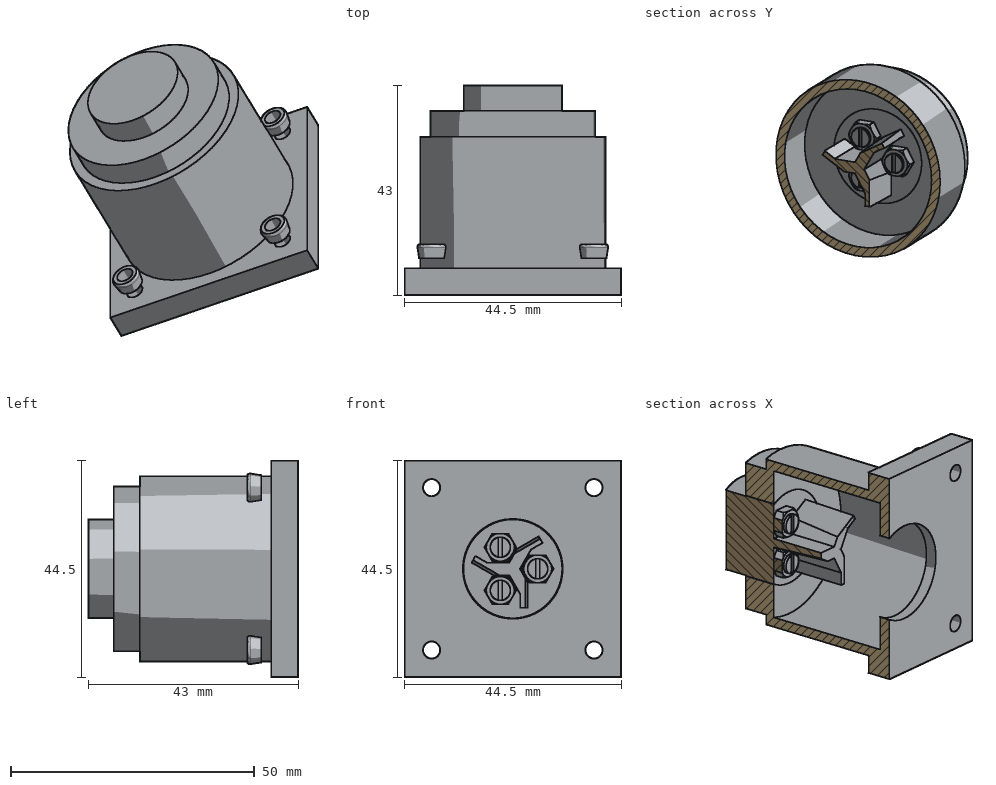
import cadquery as cq
import math


flange_width = 44.45
flange_thickness = 5.55
body_diameter = 38.1
body_end = 32.5
collar_diameter = 33.85
collar_end = 37.85

mouth_diameter = 20.55
mouth_depth = 2.5
chamber_diameter = collar_diameter
chamber_wall = (body_diameter - chamber_diameter) / 2
chamber_end = body_end - chamber_wall

mount_offset = 16.65
mount_hole_diameter = 3.45
ring_front = 7.55
ring_rim = 9.82
ring_back = 10.45
ring_back_bulge = 0.1
ring_front_diameter = 5.15
ring_rim_diameter = 5.85
ring_back_diameter = 5.25

insert_diameter = 20.25
overall_length = 43.05
arm_count = 3
arm_angle = 360 / arm_count
separator_height = 12.45
separator_front = chamber_end - separator_height
web_corner_radius = 1.45
limb_angle = 60.0
arm_tip_inner = 1.55
arm_tip_outer = 3.1
arm_reach = 7.95
arm_taper = 0.6

screw_circle_radius = 5.1
hex_flats = 5.65
hex_corners = hex_flats / math.cos(math.radians(30))
hex_height = 2.22
hex_chamfer_diameter = 5.75
hex_chamfer_angle = 45.0
hex_front = chamber_end - hex_height
stud_diameter = 4.15
stud_height = 0.65
stud_front = hex_front - stud_height
slot_width = 0.75
slot_depth = 0.45


def rod(diameter, start, end):
    """Cylinder along Y, from station start to station end."""
    return cq.Workplane("XZ", origin=(0, start, 0)).circle(diameter / 2).extrude(start - end)


def turn(body, angle):
    """Rotate a body about the Y axis."""
    return body.rotate((0, 0, 0), (0, 1, 0), angle)


def make_housing():
    """Flange, body and collar in one piece, bored for the chamber and the insert."""
    flange = cq.Workplane("XZ").rect(flange_width, flange_width).extrude(-flange_thickness)
    body = rod(body_diameter, flange_thickness, body_end)
    collar = rod(collar_diameter, body_end, collar_end)
    mouth = rod(mouth_diameter, 0, mouth_depth)
    chamber = rod(chamber_diameter, mouth_depth, chamber_end)
    insert_hole = rod(insert_diameter, chamber_end, collar_end)
    mount_holes = (
        cq.Workplane("XZ")
        .rect(2 * mount_offset, 2 * mount_offset, forConstruction=True)
        .vertices()
        .circle(mount_hole_diameter / 2)
        .extrude(-flange_thickness)
    )
    housing = flange.union(body).union(collar)
    return housing.cut(mouth).cut(chamber).cut(insert_hole).cut(mount_holes)


def make_ring(x, z):
    """Ring that widens to a rim and has a rounded back, in line with the mounting hole at (x, z)."""
    hole_radius = mount_hole_diameter / 2
    ring = (
        cq.Workplane("XY")
        .moveTo(hole_radius, ring_front)
        .lineTo(ring_front_diameter / 2, ring_front)
        .lineTo(ring_rim_diameter / 2, ring_rim)
        .sagittaArc((ring_back_diameter / 2, ring_back), -ring_back_bulge)
        .lineTo(hole_radius, ring_back)
        .close()
        .revolve(360, (0, 0, 0), (0, 1, 0))
    )
    return ring.translate((x, 0, z))


def make_arm():
    """Lower separator arm: a sloping limb that bends straight down.

    The outer side of the bent part tapers from the full width at the base to a narrower front.
    """
    slope = math.tan(math.radians(limb_angle))
    outline = [
        (0, 0),
        (-web_corner_radius / 2, -web_corner_radius * math.sin(math.radians(limb_angle))),
        (arm_tip_inner, -slope * (web_corner_radius + arm_tip_inner)),
        (arm_tip_inner, -arm_reach),
        (arm_tip_outer, -arm_reach),
        (arm_tip_outer, -slope * (arm_tip_outer - web_corner_radius)),
        (web_corner_radius, 0),
    ]
    base = cq.Workplane("XZ", origin=(0, chamber_end, 0))
    arm = base.polyline(outline).close().extrude(separator_height)
    taper_cut = (
        cq.Workplane("XY")
        .polyline([
            (arm_tip_outer - arm_taper, separator_front),
            (arm_tip_outer, separator_front),
            (arm_tip_outer, chamber_end),
        ])
        .close()
        .extrude(-arm_reach)
    )
    return arm.cut(taper_cut)


def make_insert():
    """Plug with the separator standing on its front face."""
    insert = rod(insert_diameter, chamber_end, overall_length)
    arm = make_arm()
    for i in range(arm_count):
        insert = insert.union(turn(arm, i * arm_angle))
    return insert


def make_screw(angle):
    """Hexagon with bevelled corners and a slotted stud, placed at an angle around the Y axis."""
    seat = cq.Workplane("XZ", origin=(0, chamber_end, 0))
    hexagon = seat.polygon(6, hex_corners).extrude(hex_height)
    corner_overhang = (hex_corners - hex_chamfer_diameter) / 2
    corner_drop = corner_overhang * math.tan(math.radians(hex_chamfer_angle))
    corner_cone = (
        cq.Workplane("XY")
        .polyline([
            (0, hex_front),
            (hex_chamfer_diameter / 2, hex_front),
            (hex_corners / 2, hex_front + corner_drop),
            (hex_corners / 2, chamber_end),
            (0, chamber_end),
        ])
        .close()
        .revolve(360, (0, 0, 0), (0, 1, 0))
    )
    stud = rod(stud_diameter, stud_front, hex_front)
    slot = (
        cq.Workplane("XZ", origin=(0, stud_front, 0))
        .rect(slot_width, stud_diameter)
        .extrude(-slot_depth)
    )
    screw = hexagon.intersect(corner_cone).union(stud.cut(slot))
    x = screw_circle_radius * math.cos(math.radians(angle))
    z = screw_circle_radius * math.sin(math.radians(angle))
    return screw.translate((x, 0, z))


housing = make_housing()
insert = make_insert()
rings = [
    make_ring(x, z).val()
    for x in (-mount_offset, mount_offset)
    for z in (-mount_offset, mount_offset)
]
screws = [make_screw(i * arm_angle).val() for i in range(arm_count)]

result = cq.Compound.makeCompound([housing.val(), insert.val(), *rings, *screws])